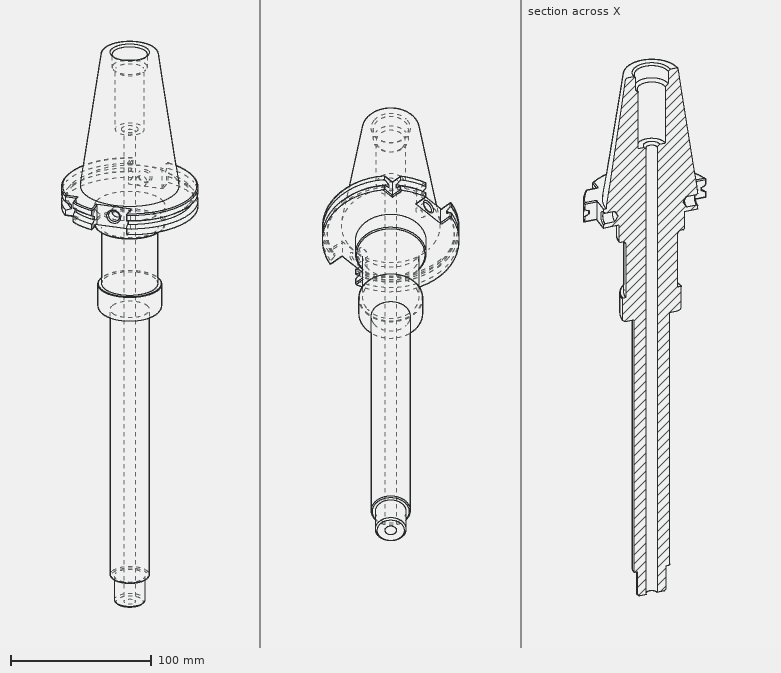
import cadquery as cq
import math

TOTAL_LENGTH = 431.0

TAPER_TOP_DIA = 40.5
TAPER_BASE_DIA = 70.3
TAPER_LENGTH = 103.0
TAPER_TOP_FILLET = 2.0

FLANGE_DIA = 97.5
FLANGE_TOP = 104.8
FLANGE_BOTTOM = 120.5
FLANGE_CHAMFER = 1.0
GROOVE_CENTRE = 113.0
GROOVE_DEPTH = 3.5
GROOVE_FLOOR_WIDTH = 2.5
GROOVE_MOUTH_WIDTH = 6.5

COLLAR_DIA = 50.5
COLLAR_BOTTOM = 135.5
COLLAR_CHAMFER = 1.0
NECK_DIA = 40.0
NECK_FILLET = 2.5
BAND_DIA = 45.5
BAND_TOP = 181.5
BAND_BOTTOM = 201.8
BAND_TOP_CHAMFER = 0.5
BAND_FILLET = 3.5
SHAFT_DIA = 28.0
SHAFT_BOTTOM = 411.0
SHAFT_CHAMFER = 1.0
TIP_DIA = 22.0
TIP_CHAMFER = 1.5

BORE_MOUTH_DIA = 28.0
BORE_ENTRY_DIA = 25.0
BORE_ENTRY_DEPTH = 11.5
THREAD_BORE_DIA = 20.5
THREAD_BORE_DEPTH = 60.5
COOLANT_MOUTH_DIA = 12.0
COOLANT_DIA = 8.0

SLOT_WIDTH = 25.0
FRONT_SLOT_FLOOR = 37.0
BACK_SLOT_FLOOR = 35.5
EDGE_CHAMFER = 1.0
NOTCH_REACH = 30.0

SCREW_MOUTH_DIA = 10.5
SCREW_DIA = 8.0
SCREW_DEPTH = 8.5
DRILL_POINT_ANGLE = 118.0


MARGIN = 0.05


def revolve_profile(points):
    """Revolve (diameter, depth) corners, closed along the Z axis, about that axis."""
    outline = [(diameter / 2, TOTAL_LENGTH - depth) for diameter, depth in points]
    return cq.Workplane("XZ").polyline(outline).close().revolve(360, (0, 0, 0), (0, 1, 0))


def make_body():
    groove_dia = FLANGE_DIA - 2 * GROOVE_DEPTH
    return revolve_profile([
        (0, 0),
        (TAPER_TOP_DIA, 0),
        (TAPER_BASE_DIA, TAPER_LENGTH),
        (TAPER_BASE_DIA, FLANGE_TOP),
        (FLANGE_DIA - 2 * FLANGE_CHAMFER, FLANGE_TOP),
        (FLANGE_DIA, FLANGE_TOP + FLANGE_CHAMFER),
        (FLANGE_DIA, GROOVE_CENTRE - GROOVE_MOUTH_WIDTH / 2),
        (groove_dia, GROOVE_CENTRE - GROOVE_FLOOR_WIDTH / 2),
        (groove_dia, GROOVE_CENTRE + GROOVE_FLOOR_WIDTH / 2),
        (FLANGE_DIA, GROOVE_CENTRE + GROOVE_MOUTH_WIDTH / 2),
        (FLANGE_DIA, FLANGE_BOTTOM),
        (COLLAR_DIA, FLANGE_BOTTOM),
        (COLLAR_DIA, COLLAR_BOTTOM - COLLAR_CHAMFER),
        (COLLAR_DIA - 2 * COLLAR_CHAMFER, COLLAR_BOTTOM),
        (NECK_DIA, COLLAR_BOTTOM),
        (NECK_DIA, BAND_TOP),
        (BAND_DIA - 2 * BAND_TOP_CHAMFER, BAND_TOP),
        (BAND_DIA, BAND_TOP + BAND_TOP_CHAMFER),
        (BAND_DIA, BAND_BOTTOM),
        (SHAFT_DIA, BAND_BOTTOM),
        (SHAFT_DIA, SHAFT_BOTTOM - SHAFT_CHAMFER),
        (SHAFT_DIA - 2 * SHAFT_CHAMFER, SHAFT_BOTTOM),
        (TIP_DIA, SHAFT_BOTTOM),
        (TIP_DIA, TOTAL_LENGTH - TIP_CHAMFER),
        (TIP_DIA - 2 * TIP_CHAMFER, TOTAL_LENGTH),
        (0, TOTAL_LENGTH),
    ])


def make_bore():
    """Pull-stud bore, countersunk at both steps, above a through coolant hole."""
    mouth_depth = (BORE_MOUTH_DIA - BORE_ENTRY_DIA) / 2
    entry_cone = (BORE_ENTRY_DIA - THREAD_BORE_DIA) / 2
    coolant_cone = (COOLANT_MOUTH_DIA - COOLANT_DIA) / 2
    return revolve_profile([
        (0, 0),
        (BORE_MOUTH_DIA, 0),
        (BORE_ENTRY_DIA, mouth_depth),
        (BORE_ENTRY_DIA, BORE_ENTRY_DEPTH),
        (THREAD_BORE_DIA, BORE_ENTRY_DEPTH + entry_cone),
        (THREAD_BORE_DIA, THREAD_BORE_DEPTH),
        (COOLANT_MOUTH_DIA, THREAD_BORE_DEPTH),
        (COOLANT_DIA, THREAD_BORE_DEPTH + coolant_cone),
        (COOLANT_DIA, TOTAL_LENGTH),
        (0, TOTAL_LENGTH),
    ])


def flange_cutter(x_min, x_max, y_min, y_max):
    """Box through the full flange thickness, for cutting its rim."""
    return (
        cq.Workplane("XY", origin=(0, 0, TOTAL_LENGTH - FLANGE_BOTTOM))
        .moveTo((x_min + x_max) / 2, (y_min + y_max) / 2)
        .rect(x_max - x_min, y_max - y_min)
        .extrude(FLANGE_BOTTOM - FLANGE_TOP)
    )


def make_screw_hole(side, slot_floor):
    """Countersunk blind hole going inward from a slot floor; side is -1 or +1 along Y."""
    height = TOTAL_LENGTH - (FLANGE_TOP + FLANGE_BOTTOM) / 2
    mouth_depth = (SCREW_MOUTH_DIA - SCREW_DIA) / 2
    start = cq.Vector(0, side * slot_floor, height)
    inward = cq.Vector(0, -side, 0)
    hole = cq.Solid.makeCylinder(SCREW_DIA / 2, SCREW_DEPTH, start, inward)
    mouth_cone = cq.Solid.makeCone(SCREW_MOUTH_DIA / 2, SCREW_DIA / 2, mouth_depth, start, inward)
    point_depth = SCREW_DIA / 2 / math.tan(math.radians(DRILL_POINT_ANGLE / 2))
    bottom = start + inward * SCREW_DEPTH
    drill_point = cq.Solid.makeCone(SCREW_DIA / 2, 0, point_depth, bottom, inward)
    return hole.fuse(mouth_cone, drill_point)


def fillet_circle(body, diameter, depth, radius):
    """Round the circular edge of the given diameter at a depth below the top."""
    def is_wanted(edge):
        centre_error = abs(edge.Center().z - (TOTAL_LENGTH - depth))
        radius_error = abs(edge.radius() - diameter / 2)
        return max(centre_error, radius_error) < MARGIN

    return body.edges("%CIRCLE").filter(is_wanted).fillet(radius)


def is_notch_back_edge(edge):
    """True on the edges of the notch wall facing -Y."""
    return abs(edge.Center().y + NOTCH_REACH) < MARGIN


def is_slot_rim_corner(edge):
    """True on the edges where a drive slot breaks out through the rim."""
    centre = edge.Center()
    in_slot = abs(centre.x) < SLOT_WIDTH / 2 + MARGIN
    beyond_floors = abs(centre.y) > FRONT_SLOT_FLOOR + MARGIN
    return in_slot and beyond_floors


rim = FLANGE_DIA / 2
half_slot = SLOT_WIDTH / 2
front_slot = flange_cutter(-half_slot, half_slot, -rim, -FRONT_SLOT_FLOOR)
back_slot = flange_cutter(-half_slot, half_slot, BACK_SLOT_FLOOR, rim)
corner_notch = flange_cutter(-rim, -NOTCH_REACH, -rim, -NOTCH_REACH)

result = make_body()
result = fillet_circle(result, TAPER_TOP_DIA, 0, TAPER_TOP_FILLET)
result = fillet_circle(result, NECK_DIA, COLLAR_BOTTOM, NECK_FILLET)
result = fillet_circle(result, BAND_DIA, BAND_BOTTOM, BAND_FILLET)
result = result.cut(make_bore())
for rim_cut in (front_slot, back_slot, corner_notch):
    result = result.cut(rim_cut)

result = result.edges("|Y").chamfer(EDGE_CHAMFER)
result = result.edges("|X").filter(is_notch_back_edge).chamfer(EDGE_CHAMFER)
result = result.edges("|Z").filter(is_slot_rim_corner).chamfer(EDGE_CHAMFER)

for side, slot_floor in ((-1, FRONT_SLOT_FLOOR), (1, BACK_SLOT_FLOOR)):
    result = result.cut(make_screw_hole(side, slot_floor))